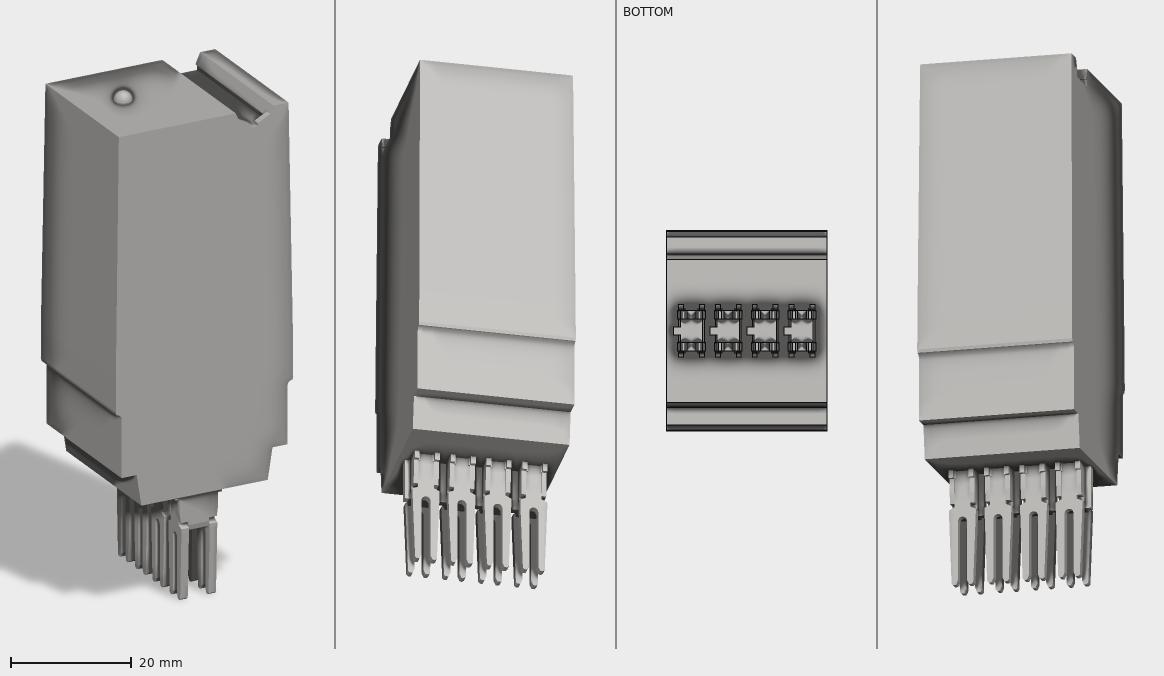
import cadquery as cq

TOTAL_HEIGHT = 88.4
HOUSING_TOP = 86.4
DRAFT_END = 42.8
CAP_BOTTOM = 37.1
RIM_BOTTOM = 36.6
FOOT_TOP = 25.2
HOUSING_BOTTOM = 19.5

HALF_WIDTH = 26.6 / 2
HALF_DEPTH = 33.2 / 2
TOP_HALF_WIDTH = 13.0
TOP_HALF_DEPTH = 15.9
BASE_HALF_DEPTH = 15.6
FOOT_TOP_HALF_DEPTH = 12.7
FOOT_BOTTOM_HALF_DEPTH = 11.85
RIM_HALF_DEPTH = 16.4
RIM_FILLET = RIM_HALF_DEPTH - BASE_HALF_DEPTH

CHANNEL_Y = 9.55
CHANNEL_FLOOR = 83.3
LIP_UNDERSIDE = 84.3
CHANNEL_TOP_HALF = 3.5
LIP_HALF = 2.65
CHANNEL_FLOOR_HALF = 3.0

STOP_START_X = 11.8
STOP_HALF_GAP = 0.6
STOP_LOW = 83.8
STOP_HIGH = 85.0

BUTTON_Y = -8.2
BUTTON_RADIUS = 1.6
STEM_RADIUS = 1.4

CONTACT_COUNT = 4
CONTACT_PITCH = 6.1
FORK_INNER_Y = 1.95
FORK_OUTER_Y = 3.4
SHOULDER_HALF = 2.3
LEG_TAPER_TOP = 12.1
SHOULDER_LOW = 12.9
SHOULDER_HIGH = 13.35
TIP_HALF = 1.9
NECK_HALF = 1.3
SLOT_HALF = 0.75
SLOT_TOP = 11.7
TIP_CHAMFER_HEIGHT = 0.8
TIP_CHAMFER_WIDTH = 0.35
TIP_BEVEL = 0.3

CHEEK_HALF = 2.1
LUG_Y = 4.3
LUG_BOTTOM = 18.2
LUG_HALF_INNER = 1.1
CHEEK_Y = 3.6
CHEEK_TAPER_TOP = 15.8
CHEEK_OUTER_BOTTOM = 14.0
CHEEK_INNER_BOTTOM = SHOULDER_HIGH

CORE_BOTTOM = 12.4
CORE_HALF = CHEEK_HALF
CORE_BOTTOM_HALF = 1.9
RIB_HALF_THICKNESS = 0.66
RIB_REACH = 3.0

EMBED = 0.9


def extrude_along_x(points, x_start, x_end):
    """Prism from a (Y, Z) outline between two X positions."""
    return cq.Workplane("YZ", origin=(x_start, 0, 0)).polyline(points).close().extrude(x_end - x_start)


def extrude_along_y(points, y_start, y_end):
    """Prism from an (X, Z) outline between two Y positions."""
    return cq.Workplane("XZ", origin=(0, y_end, 0)).polyline(points).close().extrude(y_end - y_start)


def mirrored(half_points):
    """Close a right-hand half outline with its mirror image about the vertical axis."""
    return half_points + [(-u, v) for u, v in reversed(half_points)]


def make_housing():
    corner = RIM_FILLET * (1 - 0.5 ** 0.5)
    fillet_bottom = RIM_BOTTOM - RIM_FILLET
    side_profile = (
        cq.Workplane("YZ", origin=(-HALF_WIDTH, 0, 0))
        .moveTo(TOP_HALF_DEPTH, HOUSING_TOP)
        .lineTo(HALF_DEPTH, DRAFT_END)
        .lineTo(HALF_DEPTH, CAP_BOTTOM)
        .lineTo(RIM_HALF_DEPTH, RIM_BOTTOM)
        .threePointArc((BASE_HALF_DEPTH + corner, RIM_BOTTOM - corner), (BASE_HALF_DEPTH, fillet_bottom))
        .lineTo(BASE_HALF_DEPTH, FOOT_TOP)
        .lineTo(FOOT_TOP_HALF_DEPTH, FOOT_TOP)
        .lineTo(FOOT_BOTTOM_HALF_DEPTH, HOUSING_BOTTOM)
        .lineTo(-FOOT_BOTTOM_HALF_DEPTH, HOUSING_BOTTOM)
        .lineTo(-FOOT_TOP_HALF_DEPTH, FOOT_TOP)
        .lineTo(-BASE_HALF_DEPTH, FOOT_TOP)
        .lineTo(-BASE_HALF_DEPTH, fillet_bottom)
        .threePointArc((-BASE_HALF_DEPTH - corner, RIM_BOTTOM - corner), (-RIM_HALF_DEPTH, RIM_BOTTOM))
        .lineTo(-HALF_DEPTH, CAP_BOTTOM)
        .lineTo(-HALF_DEPTH, DRAFT_END)
        .lineTo(-TOP_HALF_DEPTH, HOUSING_TOP)
        .close()
        .extrude(2 * HALF_WIDTH)
    )
    front_outline = mirrored([
        (HALF_WIDTH, HOUSING_BOTTOM),
        (HALF_WIDTH, CAP_BOTTOM),
        (TOP_HALF_WIDTH, HOUSING_TOP),
    ])
    return side_profile.intersect(extrude_along_y(front_outline, -HALF_DEPTH, HALF_DEPTH))


def make_channel():
    """Undercut channel, less the two stops left standing at its +X end."""
    outline = mirrored([
        (CHANNEL_FLOOR_HALF, CHANNEL_FLOOR),
        (CHANNEL_FLOOR_HALF, LIP_UNDERSIDE),
        (LIP_HALF, LIP_UNDERSIDE),
        (CHANNEL_TOP_HALF, HOUSING_TOP),
    ])
    channel = extrude_along_x(outline, -HALF_WIDTH, HALF_WIDTH)
    stop_outline = [
        (STOP_HALF_GAP, CHANNEL_FLOOR),
        (STOP_HALF_GAP, STOP_LOW),
        (CHANNEL_FLOOR_HALF, STOP_HIGH),
        (CHANNEL_FLOOR_HALF, CHANNEL_FLOOR),
    ]
    stop = extrude_along_x(stop_outline, STOP_START_X, HALF_WIDTH)
    return channel.cut(stop).cut(stop.mirror("XZ")).translate((0, CHANNEL_Y, 0))


def make_button():
    dome_base = TOTAL_HEIGHT - BUTTON_RADIUS
    stem_bottom = HOUSING_TOP - EMBED
    stem = (
        cq.Workplane("XY", origin=(0, 0, stem_bottom))
        .circle(STEM_RADIUS)
        .extrude(dome_base - stem_bottom)
    )
    dome = cq.Workplane("XY", origin=(0, 0, dome_base)).sphere(BUTTON_RADIUS, angle1=0)
    return stem.union(dome).translate((0, BUTTON_Y, 0))


def make_fork():
    """Two-legged blade on the +Y side, with a round-ended slot between the legs."""
    blade_outline = mirrored([
        (SLOT_HALF + TIP_CHAMFER_WIDTH, 0),
        (TIP_HALF - TIP_BEVEL, 0),
        (TIP_HALF, TIP_BEVEL),
        (SHOULDER_HALF, LEG_TAPER_TOP),
        (SHOULDER_HALF, SHOULDER_LOW),
        (NECK_HALF, SHOULDER_HIGH),
        (NECK_HALF, HOUSING_BOTTOM + EMBED),
    ])
    blade = extrude_along_y(blade_outline, FORK_INNER_Y, FORK_OUTER_Y)
    slot = (
        cq.Workplane("XZ", origin=(0, FORK_OUTER_Y, 0))
        .moveTo(-SLOT_HALF - TIP_CHAMFER_WIDTH, 0)
        .lineTo(-SLOT_HALF, TIP_CHAMFER_HEIGHT)
        .lineTo(-SLOT_HALF, SLOT_TOP - SLOT_HALF)
        .threePointArc((0, SLOT_TOP), (SLOT_HALF, SLOT_TOP - SLOT_HALF))
        .lineTo(SLOT_HALF, TIP_CHAMFER_HEIGHT)
        .lineTo(SLOT_HALF + TIP_CHAMFER_WIDTH, 0)
        .close()
        .extrude(FORK_OUTER_Y - FORK_INNER_Y)
    )
    return blade.cut(slot)


def make_cheeks():
    """Both side plates of the +Y fork, each with a wider lug under the housing."""
    top = HOUSING_BOTTOM + EMBED
    plate_outline = [
        (0, top),
        (CHEEK_Y, top),
        (CHEEK_Y, CHEEK_TAPER_TOP),
        (FORK_OUTER_Y, CHEEK_OUTER_BOTTOM),
        (FORK_INNER_Y, CHEEK_OUTER_BOTTOM),
        (FORK_INNER_Y, CHEEK_INNER_BOTTOM),
        (0, CHEEK_INNER_BOTTOM),
    ]
    lug_outline = [(0, LUG_BOTTOM), (LUG_Y, LUG_BOTTOM), (LUG_Y, top), (0, top)]
    plate = extrude_along_x(plate_outline, NECK_HALF, CHEEK_HALF)
    lug = extrude_along_x(lug_outline, NECK_HALF, CHEEK_HALF)
    collar_outline = [(0, LUG_BOTTOM), (CHEEK_Y, LUG_BOTTOM), (CHEEK_Y, top), (0, top)]
    collar = extrude_along_x(collar_outline, LUG_HALF_INNER, NECK_HALF)
    cheek = plate.union(lug).union(collar)
    return cheek.union(cheek.mirror("YZ"))


def make_contact_unit():
    half_unit = make_fork().union(make_cheeks())
    core_outline = mirrored([
        (CORE_BOTTOM_HALF, CORE_BOTTOM),
        (CORE_HALF, CHEEK_INNER_BOTTOM),
        (CORE_HALF, HOUSING_BOTTOM + EMBED),
    ])
    core = extrude_along_y(core_outline, -FORK_INNER_Y, FORK_INNER_Y)
    rib_height = HOUSING_BOTTOM + EMBED - CORE_BOTTOM
    rib = (
        cq.Workplane("XY", origin=(-RIB_REACH / 2, 0, CORE_BOTTOM))
        .rect(RIB_REACH, 2 * RIB_HALF_THICKNESS)
        .extrude(rib_height)
    )
    return core.union(rib).union(half_unit).union(half_unit.mirror("XZ"))


result = make_housing().cut(make_channel()).union(make_button())
contact_unit = make_contact_unit()
for index in range(CONTACT_COUNT):
    contact_x = (index - (CONTACT_COUNT - 1) / 2) * CONTACT_PITCH
    result = result.union(contact_unit.translate((contact_x, 0, 0)))